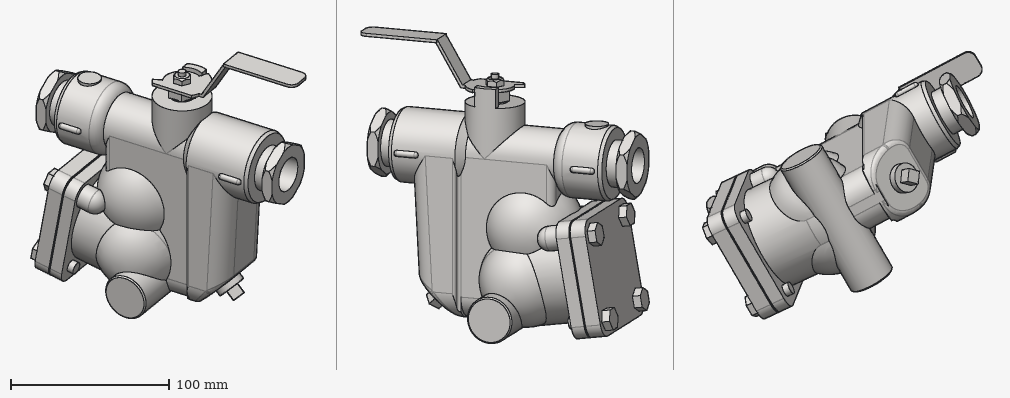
import cadquery as cq
import math


PIPE_R = 19.0
HUB_R = 24.0
HUB_EDGE = 2.5
INLET_END = -80.8
INLET_SHOULDER = -54.3
INLET_NECK = -46.7
OUTLET_NECK = 12.8
OUTLET_SHOULDER = 18.0
OUTLET_END = 63.2
THREAD_R = 15.0
THREAD_LENGTH = 8.3
UNION_CORNERS = 44.5
UNION_THICKNESS = 7.5
UNION_CROWN = 2.5
BORE_D = 22.6
BORE_DEPTH = 12.0
RIB_R = 2.0
RIB_LENGTH = 16.3
RIB_Y = 24.3
INLET_RIB_X = -68.2
OUTLET_RIB_X = 50.8
HUB_PLUG_X = -68.7
HUB_PLUG_D = 15.0
HUB_PLUG_TOP = 24.8

BONNET_TOP = 33.2
GLAND_COLLAR_D = 16.0
GLAND_BOTTOM = 34.3
GLAND_TOP = 41.1
GLAND_CORNERS = 19.6
STEM_D = 10.0
STEM_TIP_D = 5.0
STEM_TIP_TOP = 51.1
STEM_NUT_CORNERS = 12.2
STEM_NUT_TOP = 48.4
STEM_NUT_CROWN = 1.5
LEVER_THICKNESS = 2.0
PLATE_BOTTOM = 41.9
PLATE_R = 18.9
PLATE_FRONT = 12.0
NOTCH_R = 12.5
NOTCH_START = 62
NOTCH_END = 205
ARM_WIDTH = 15.2
ARM_FOOT_X = 19.0
HANDLE_START_X = 36.1
HANDLE_END_X = 88.8
HANDLE_TOP = 72.0
HANDLE_WIDTH = 17.6
HANDLE_CORNER_R = 5.2
STOP_WIDTH = 14.3
STOP_INNER_R = 14.0
STOP_TOP = 45.8

BODY_BOTTOM = -106.5
SLAB_LEFT = -46.7
SLAB_CORNER_R = 4.6
SLAB_BOTTOM_R = 15.5
BOX_STEP_START = 15.8
BOX_STEP_END = 19.6
BOX_TOP_X = 50.0
BOX_SHOULDER_X = 45.8
BOX_SHOULDER_Z = -79.9
BOX_SIDE_R = 12.0
BOX_BOTTOM_R = 18.5
BOX_CORNER_R = 3.7
UPPER_BULGE_R = 31.3
UPPER_BULGE_X = -26.3
UPPER_BULGE_Z = -44.5
LOWER_BULGE_R = 29.6
LOWER_BULGE_X = -24.6
LOWER_BULGE_Y = 9.8
LOWER_BULGE_Z = -78.8
PORT_D = 30.0
PORT_X = -14.5
PORT_Z = -97.0
PORT_FRONT_Y = -44.8
PORT_BACK_Y = 48.2
PORT_EDGE = 1.0

TILT = math.radians(10)
COVER_X = -80.6
COVER_Z = -67.5
COVER_SIDE = 76.0
COVER_CORNER_R = 9.3
COVER_THICKNESS = 10.4
GASKET_THICKNESS = 0.7
GASKET_SIDE = 74.9
FLANGE_THICKNESS = 8.9
FLANGE_BACK = COVER_THICKNESS + GASKET_THICKNESS + FLANGE_THICKNESS
CHAMBER_R = 33.4
CHAMBER_RISE = 1.0
BOLT_SPACING = 55.0
BOLT_HEAD_CORNERS = 15.0
BOLT_HEAD_HEIGHT = 5.4
BOLT_D = 8.0
BOLT_TIP = 4.3
BOLT_BOSS_R = 8.0
BOLT_BOSS_DEPTH = 28.7

DRAIN_X = 33.5
DRAIN_COLLAR_D = 18.7
DRAIN_COLLAR_HEIGHT = 4.8
DRAIN_SQUARE_CORNERS = 11.9
DRAIN_SQUARE_HEIGHT = 7.5


def x_cylinder(start, end, radius):
    return cq.Workplane("YZ", origin=(start, 0, 0)).circle(radius).extrude(end - start)


def z_cylinder(bottom, top, diameter):
    return cq.Workplane("XY").workplane(offset=bottom).circle(diameter / 2).extrude(top - bottom)


def sphere(radius, x, y, z):
    return cq.Workplane("XY").sphere(radius).translate((x, y, z))


def pipe_and_hubs():
    """Pipe with its two wider hubs, turned about the X axis."""
    return (
        cq.Workplane("XZ")
        .moveTo(INLET_END, 0)
        .lineTo(INLET_END, HUB_R - HUB_EDGE / 2)
        .lineTo(INLET_END + HUB_EDGE, HUB_R)
        .lineTo(INLET_SHOULDER, HUB_R)
        .tangentArcPoint((INLET_NECK, PIPE_R), relative=False)
        .lineTo(OUTLET_NECK, PIPE_R)
        .lineTo(OUTLET_SHOULDER, HUB_R)
        .lineTo(OUTLET_END - HUB_EDGE, HUB_R)
        .lineTo(OUTLET_END, HUB_R - HUB_EDGE / 2)
        .lineTo(OUTLET_END, 0)
        .close()
        .revolve(360, (0, 0, 0), (1, 0, 0))
    )


def union(hub_end, direction):
    """Threaded tail and crowned hexagon nut beyond a hub; direction is -1 or +1 along X."""
    nut_x = hub_end + direction * THREAD_LENGTH
    tail = x_cylinder(hub_end, nut_x, THREAD_R)
    nut = (
        cq.Workplane("YZ", origin=(nut_x, 0, 0))
        .transformed(rotate=(0, 0, 90))
        .polygon(6, UNION_CORNERS)
        .extrude(direction * UNION_THICKNESS)
    )
    crown = x_cylinder(nut_x, nut_x + direction * UNION_THICKNESS, UNION_CORNERS / 2)
    crown = crown.faces("<X or >X").chamfer(UNION_CROWN)
    return tail.union(nut.intersect(crown))


def union_bore(hub_end, direction):
    outer_x = hub_end + direction * (THREAD_LENGTH + UNION_THICKNESS)
    return x_cylinder(outer_x, outer_x - direction * BORE_DEPTH, BORE_D / 2)


def hub_rib(x, side):
    """Round-ended bead lying on the side of a hub."""
    half_straight = RIB_LENGTH / 2 - RIB_R
    bead = x_cylinder(x - half_straight, x + half_straight, RIB_R)
    for end in (-1, 1):
        bead = bead.union(sphere(RIB_R, x + end * half_straight, 0, 0))
    return bead.translate((0, side * RIB_Y, 0))


def bonnet_and_stem():
    bonnet = z_cylinder(0, BONNET_TOP, 2 * PIPE_R)
    collar = z_cylinder(BONNET_TOP, GLAND_BOTTOM, GLAND_COLLAR_D)
    gland = (
        cq.Workplane("XY").workplane(offset=GLAND_BOTTOM)
        .polygon(6, GLAND_CORNERS).extrude(GLAND_TOP - GLAND_BOTTOM)
    )
    nut_bottom = PLATE_BOTTOM + LEVER_THICKNESS
    stem = z_cylinder(GLAND_TOP, nut_bottom, STEM_D)
    nut = (
        cq.Workplane("XY").workplane(offset=nut_bottom)
        .polygon(6, STEM_NUT_CORNERS).extrude(STEM_NUT_TOP - nut_bottom)
    )
    nut_crown = z_cylinder(nut_bottom, STEM_NUT_TOP, STEM_NUT_CORNERS)
    nut_crown = nut_crown.faces(">Z").chamfer(STEM_NUT_CROWN)
    tip = z_cylinder(STEM_NUT_TOP, STEM_TIP_TOP, STEM_TIP_D)
    return bonnet.union(collar).union(gland).union(stem).union(nut.intersect(nut_crown)).union(tip)


def lever_stop():
    """Upright on the bonnet rim that limits the swing of the lever plate."""
    height = STOP_TOP - BONNET_TOP
    ring = (
        cq.Workplane("XY").workplane(offset=BONNET_TOP)
        .circle(PIPE_R).circle(STOP_INNER_R).extrude(height)
    )
    window = (
        cq.Workplane("XY").workplane(offset=BONNET_TOP)
        .center(0, PIPE_R / 2).rect(STOP_WIDTH, PIPE_R).extrude(height)
    )
    return ring.intersect(window)


def lever():
    """Notched plate on the stem, bent up into a sloping arm and a flat handle."""
    plate = z_cylinder(PLATE_BOTTOM, PLATE_BOTTOM + LEVER_THICKNESS, 2 * PLATE_R)
    front_trim = (
        cq.Workplane("XY").workplane(offset=PLATE_BOTTOM)
        .center(0, -PLATE_FRONT - PLATE_R / 2).rect(2 * PLATE_R, PLATE_R).extrude(LEVER_THICKNESS)
    )

    def at_angle(radius, degrees):
        angle = math.radians(degrees)
        return radius * math.cos(angle), radius * math.sin(angle)

    clear_r = PLATE_R + 1.9
    notch_middle = (NOTCH_START + NOTCH_END) / 2
    notch = (
        cq.Workplane("XY").workplane(offset=PLATE_BOTTOM)
        .moveTo(*at_angle(NOTCH_R, NOTCH_START))
        .lineTo(*at_angle(clear_r, NOTCH_START))
        .threePointArc(at_angle(clear_r, notch_middle), at_angle(clear_r, NOTCH_END))
        .lineTo(*at_angle(NOTCH_R, NOTCH_END))
        .threePointArc(at_angle(NOTCH_R, notch_middle), at_angle(NOTCH_R, NOTCH_START))
        .close().extrude(LEVER_THICKNESS)
    )
    plate = plate.cut(front_trim).cut(notch)

    rise = HANDLE_TOP - LEVER_THICKNESS - PLATE_BOTTOM
    slope = math.atan2(rise, HANDLE_START_X - ARM_FOOT_X)
    bend_shift = LEVER_THICKNESS * math.tan(slope / 2)
    arm = (
        cq.Workplane("XZ")
        .moveTo(0, PLATE_BOTTOM)
        .lineTo(ARM_FOOT_X + bend_shift, PLATE_BOTTOM)
        .lineTo(HANDLE_START_X + bend_shift, HANDLE_TOP - LEVER_THICKNESS)
        .lineTo(HANDLE_START_X + bend_shift, HANDLE_TOP)
        .lineTo(HANDLE_START_X, HANDLE_TOP)
        .lineTo(ARM_FOOT_X, PLATE_BOTTOM + LEVER_THICKNESS)
        .lineTo(0, PLATE_BOTTOM + LEVER_THICKNESS)
        .close().extrude(ARM_WIDTH / 2, both=True)
    )
    handle = (
        cq.Workplane("XY").workplane(offset=HANDLE_TOP - LEVER_THICKNESS)
        .center((HANDLE_START_X + HANDLE_END_X) / 2, 0)
        .rect(HANDLE_END_X - HANDLE_START_X, HANDLE_WIDTH)
        .extrude(LEVER_THICKNESS)
        .edges("|Z and >X").fillet(HANDLE_CORNER_R)
    )
    return plate.union(arm).union(handle)


def body_slab():
    """Flat-sided wall hanging from the pipe."""
    length = BOX_STEP_END - SLAB_LEFT
    return (
        cq.Workplane("XY").workplane(offset=BODY_BOTTOM)
        .center(SLAB_LEFT + length / 2, 0).rect(length, 2 * PIPE_R).extrude(-BODY_BOTTOM)
        .edges("<Z and |X").fillet(SLAB_BOTTOM_R)
        .edges("|Z and <X").fillet(SLAB_CORNER_R)
    )


def body_box():
    """Wider outlet end of the body: sloping side, rounded edges and a 45 degree lower corner."""
    slope = (BOX_TOP_X - BOX_SHOULDER_X) / BOX_SHOULDER_Z
    box = (
        cq.Workplane("XZ")
        .lineTo(BOX_TOP_X, 0)
        .lineTo(BOX_TOP_X - slope * BODY_BOTTOM, BODY_BOTTOM)
        .lineTo(0, BODY_BOTTOM)
        .close().extrude(HUB_R, both=True)
    )
    box = box.faces("<Z").edges("<Y or >Y").fillet(BOX_BOTTOM_R)
    sloping_side = cq.selectors.BoxSelector(
        (BOX_SHOULDER_X - 1.9, -2 * HUB_R, BODY_BOTTOM), (2 * BOX_TOP_X, 2 * HUB_R, -1.9)
    )
    box = box.edges("<Y or >Y").edges(sloping_side).fillet(BOX_SIDE_R)
    corner_drop = BOX_SHOULDER_Z - BODY_BOTTOM
    corner = (
        cq.Workplane("XZ")
        .moveTo(BOX_SHOULDER_X + corner_drop, BOX_SHOULDER_Z + corner_drop)
        .lineTo(BOX_SHOULDER_X - 2 * corner_drop, BOX_SHOULDER_Z - 2 * corner_drop)
        .lineTo(BOX_SHOULDER_X + corner_drop, BOX_SHOULDER_Z - 2 * corner_drop)
        .close().extrude(2 * HUB_R, both=True)
    )
    sloping_corner = cq.selectors.DirectionMinMaxSelector(cq.Vector(1, 0, -1))
    box = box.cut(corner).faces(sloping_corner).edges().fillet(BOX_CORNER_R)

    step_x = (BOX_STEP_START + BOX_STEP_END) / 2
    hollow_r = step_x - BOX_STEP_START
    plan = cq.Workplane("XY").workplane(offset=BODY_BOTTOM).moveTo(BOX_STEP_START, 0)
    plan = (
        plan.lineTo(BOX_STEP_START, PIPE_R)
        .radiusArc((step_x, PIPE_R + hollow_r), -hollow_r)
        .lineTo(step_x, HUB_R - hollow_r)
        .radiusArc((BOX_STEP_END, HUB_R), hollow_r)
        .lineTo(BOX_TOP_X, HUB_R)
        .lineTo(BOX_TOP_X, 0)
        .close().extrude(-BODY_BOTTOM)
    )
    return box.intersect(plan.union(plan.mirror("XZ")))


def drain_plug():
    face_z = BOX_SHOULDER_Z - (BOX_SHOULDER_X - DRAIN_X)
    plane = cq.Plane(origin=(DRAIN_X, 0, face_z), xDir=(0, 1, 0), normal=(1, 0, -1))
    collar = cq.Workplane(plane).circle(DRAIN_COLLAR_D / 2).extrude(DRAIN_COLLAR_HEIGHT)
    square = (
        cq.Workplane(plane).workplane(offset=DRAIN_COLLAR_HEIGHT)
        .polygon(4, DRAIN_SQUARE_CORNERS).extrude(DRAIN_SQUARE_HEIGHT)
    )
    return collar.union(square)


def bulges():
    """One upper round swelling and a pair of lower ones, front and back."""
    lobes = sphere(UPPER_BULGE_R, UPPER_BULGE_X, 0, UPPER_BULGE_Z)
    for center_y in (-LOWER_BULGE_Y, LOWER_BULGE_Y):
        lobes = lobes.union(sphere(LOWER_BULGE_R, LOWER_BULGE_X, center_y, LOWER_BULGE_Z))
    return lobes


def side_port():
    return (
        cq.Workplane("XZ", origin=(PORT_X, PORT_BACK_Y, PORT_Z))
        .circle(PORT_D / 2).extrude(PORT_BACK_Y - PORT_FRONT_Y)
        .faces("<Y or >Y").chamfer(PORT_EDGE)
    )


def chamber_plane(depth):
    """Plane square to the chamber axis; depth runs inward from the cover's outer face."""
    inward = (math.cos(TILT), 0, -math.sin(TILT))
    origin = (COVER_X + depth * inward[0], 0, COVER_Z + depth * inward[2])
    return cq.Workplane(cq.Plane(origin=origin, xDir=(0, 1, 0), normal=inward))


def square_plate(depth, side, thickness):
    along_axis = cq.selectors.ParallelDirSelector(cq.Vector(math.cos(TILT), 0, -math.sin(TILT)))
    plate = chamber_plane(depth).rect(side, side).extrude(thickness)
    return plate.edges(along_axis).fillet(COVER_CORNER_R)


def chamber_shell():
    """Round chamber with a domed inner end, turned along X and then tipped to its slope."""
    length = (LOWER_BULGE_X - COVER_X) / math.cos(TILT)
    return (
        cq.Workplane("XZ")
        .moveTo(COVER_THICKNESS, 0)
        .lineTo(COVER_THICKNESS, CHAMBER_R)
        .lineTo(length, CHAMBER_R)
        .radiusArc((length + CHAMBER_R, 0), CHAMBER_R)
        .close()
        .revolve(360, (0, 0, 0), (1, 0, 0))
        .translate((0, 0, CHAMBER_RISE))
        .rotate((0, 0, 0), (0, 1, 0), math.degrees(TILT))
        .translate((COVER_X, 0, COVER_Z))
    )


def cover_and_flange():
    flange_depth = COVER_THICKNESS + GASKET_THICKNESS
    return (
        square_plate(0, COVER_SIDE, COVER_THICKNESS)
        .union(square_plate(COVER_THICKNESS, GASKET_SIDE, GASKET_THICKNESS))
        .union(square_plate(flange_depth, COVER_SIDE, FLANGE_THICKNESS))
    )


def cover_bolts():
    """Four hexagon bolts; the lower tips come out of the flange, the upper ones end in bosses."""
    half = BOLT_SPACING / 2
    bolts = cq.Workplane("XY")
    for across in (-half, half):
        for up in (-half, half):
            turn = 30 if across * up > 0 else 0
            head = (
                chamber_plane(0).center(across, up).transformed(rotate=(0, 0, turn))
                .polygon(6, BOLT_HEAD_CORNERS).extrude(-BOLT_HEAD_HEIGHT)
            )
            bolts = bolts.union(head)
        tip = chamber_plane(FLANGE_BACK).center(across, -half).circle(BOLT_D / 2).extrude(BOLT_TIP)
        boss = (
            chamber_plane(FLANGE_BACK).center(across, half)
            .circle(BOLT_BOSS_R).extrude(BOLT_BOSS_DEPTH - FLANGE_BACK)
        )
        dome = chamber_plane(BOLT_BOSS_DEPTH).center(across, half).sphere(BOLT_BOSS_R)
        bolts = bolts.union(tip).union(boss).union(dome)
    return bolts


def cast_body():
    return chamber_shell().union(bulges()).union(body_slab())


result = (
    cast_body()
    .union(cover_and_flange())
    .union(side_port())
    .union(body_box())
    .union(cover_bolts())
    .union(pipe_and_hubs())
    .union(drain_plug())
    .union(bonnet_and_stem())
    .union(lever_stop())
    .union(lever())
    .union(z_cylinder(0, HUB_PLUG_TOP, HUB_PLUG_D).translate((HUB_PLUG_X, 0, 0)))
)
for rib_x in (INLET_RIB_X, OUTLET_RIB_X):
    for rib_side in (-1, 1):
        result = result.union(hub_rib(rib_x, rib_side))
for end, facing in ((INLET_END, -1), (OUTLET_END, 1)):
    result = result.union(union(end, facing)).cut(union_bore(end, facing))